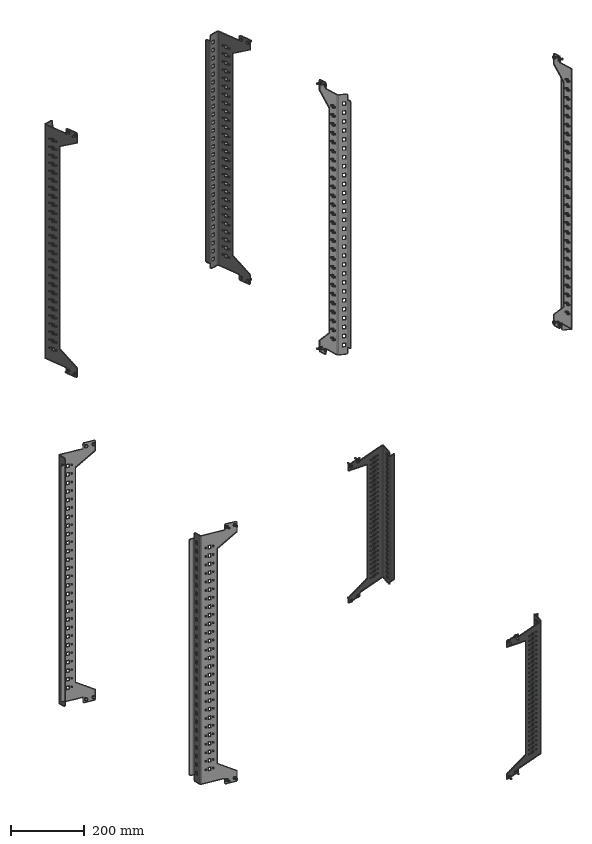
import cadquery as cq

RAIL_HEIGHT = 761.0
RAIL_DEPTH = 133.0
OVERALL_WIDTH = 720.0

SHEET = 1.75
BEND_OUTER_RADIUS = 3.0
BEND_INNER_RADIUS = BEND_OUTER_RADIUS - SHEET
PIN_PROTRUSION = 11.0
PLATE_OUTER_Y = OVERALL_WIDTH / 2 - PIN_PROTRUSION
PLATE_INNER_Y = PLATE_OUTER_Y - SHEET

RAIL_FRONT_X = -RAIL_DEPTH / 2
RAIL_REAR_X = RAIL_DEPTH / 2
FLANGE_REACH = 14.0
PLATE_REACH = 68.5
PLATE_FRONT_X = RAIL_FRONT_X + FLANGE_REACH
PLATE_REAR_X = RAIL_FRONT_X + PLATE_REACH
PLATE_TOP = 364.0
ARM_ROOT_Z = 314.0
ARM_TIP_Z = 350.0
TAB_TOP = RAIL_HEIGHT / 2
TAB_WIDTH = 40.0
CORNER_CHAMFER = 3.0

WEB_WIDTH = 34.0
WEB_REAR_X = PLATE_FRONT_X + SHEET
FLANGE_TOP = 346.0
FLANGE_INNER_Y = PLATE_OUTER_Y - WEB_WIDTH
FLANGE_OUTER_Y = FLANGE_INNER_Y + SHEET
FLANGE_BEND_Y = FLANGE_INNER_Y + BEND_OUTER_RADIUS

PLATE_HOLE_ROWS = 27
WEB_HOLE_ROWS = PLATE_HOLE_ROWS + 1
PLATE_HOLE_SPAN = 650.0
HOLE_PITCH = PLATE_HOLE_SPAN / (PLATE_HOLE_ROWS - 1)
SQUARE_HOLE = 9.0
SQUARE_HOLE_X = -23.0
ROUND_HOLE_DIAMETER = 4.2
ROUND_HOLE_OFFSET = 12.0
WEB_HOLE_INSET = 20.5

PIN_DIAMETER = 4.5
PIN_TIP_CHAMFER = 1.1
HEAD_DIAMETER = 9.0
HEAD_HEIGHT = 4.0
PIN_Z = 370.5
PIN_SPACING = HOLE_PITCH
PIN_END_MARGIN = 7.2
REAR_PIN_X = RAIL_REAR_X - PIN_END_MARGIN
PIN_POINTS = [(x, z) for x in (REAR_PIN_X - PIN_SPACING, REAR_PIN_X) for z in (-PIN_Z, PIN_Z)]


def row_heights(count):
    """Z of each row of holes, centred on Z = 0."""
    return [(row - (count - 1) / 2) * HOLE_PITCH for row in range(count)]


def plate_plane():
    """Workplane on the plate's outer face; extruding goes toward -Y, local axes are X and Z."""
    return cq.Workplane("XZ", origin=(0, PLATE_OUTER_Y, 0))


def make_side_plate():
    tab_x = RAIL_REAR_X - TAB_WIDTH
    upper = [
        (PLATE_FRONT_X, PLATE_TOP),
        (tab_x, PLATE_TOP),
        (tab_x, TAB_TOP - CORNER_CHAMFER),
        (tab_x + CORNER_CHAMFER, TAB_TOP),
        (RAIL_REAR_X - CORNER_CHAMFER, TAB_TOP),
        (RAIL_REAR_X, TAB_TOP - CORNER_CHAMFER),
        (RAIL_REAR_X, ARM_TIP_Z),
        (PLATE_REAR_X, ARM_ROOT_Z),
    ]
    lower = [(x, -z) for x, z in reversed(upper)]
    return plate_plane().polyline(upper + lower).close().extrude(SHEET)


def make_web():
    """Web as tall as the plate, ending where its bend into the flange begins."""
    return (
        cq.Workplane("XY", origin=(PLATE_FRONT_X, FLANGE_BEND_Y, 0))
        .box(SHEET, PLATE_OUTER_Y - FLANGE_BEND_Y, 2 * PLATE_TOP, centered=(False, False, True))
        .edges("|X and <Y")
        .chamfer(CORNER_CHAMFER)
    )


def make_flange():
    """Flange together with the bend that joins it to the web."""
    return (
        cq.Workplane("XY", origin=(0, 0, -FLANGE_TOP))
        .moveTo(RAIL_FRONT_X, FLANGE_INNER_Y)
        .lineTo(WEB_REAR_X - BEND_OUTER_RADIUS, FLANGE_INNER_Y)
        .radiusArc((WEB_REAR_X, FLANGE_BEND_Y), -BEND_OUTER_RADIUS)
        .lineTo(PLATE_FRONT_X, FLANGE_BEND_Y)
        .radiusArc((PLATE_FRONT_X - BEND_INNER_RADIUS, FLANGE_OUTER_Y), BEND_INNER_RADIUS)
        .lineTo(RAIL_FRONT_X, FLANGE_OUTER_Y)
        .close()
        .extrude(2 * FLANGE_TOP)
        .edges("|Y and <X")
        .chamfer(CORNER_CHAMFER)
    )


def round_plate_bend(sheet):
    """Round the outside and the inside of the fold between plate and web."""
    outer_edge = cq.selectors.NearestToPointSelector((PLATE_FRONT_X, PLATE_OUTER_Y, 0))
    inner_edge = cq.selectors.NearestToPointSelector((WEB_REAR_X, PLATE_INNER_Y, 0))
    sheet = sheet.edges(outer_edge).fillet(BEND_OUTER_RADIUS)
    return sheet.edges(inner_edge).fillet(BEND_INNER_RADIUS)


def make_plate_holes():
    """Each row has a square hole between two round ones; the tabs have holes for the pins."""
    heights = row_heights(PLATE_HOLE_ROWS)
    squares = [(SQUARE_HOLE_X, z) for z in heights]
    rounds = [(SQUARE_HOLE_X + side * ROUND_HOLE_OFFSET, z) for z in heights for side in (-1, 1)]
    square_holes = plate_plane().pushPoints(squares).rect(SQUARE_HOLE, SQUARE_HOLE).extrude(SHEET)
    round_holes = plate_plane().pushPoints(rounds).circle(ROUND_HOLE_DIAMETER / 2).extrude(SHEET)
    pin_holes = plate_plane().pushPoints(PIN_POINTS).circle(PIN_DIAMETER / 2).extrude(SHEET)
    return square_holes.vals() + round_holes.vals() + pin_holes.vals()


def make_web_holes():
    centres = [(PLATE_OUTER_Y - WEB_HOLE_INSET, z) for z in row_heights(WEB_HOLE_ROWS)]
    plane = cq.Workplane("YZ", origin=(PLATE_FRONT_X, 0, 0))
    return plane.pushPoints(centres).rect(SQUARE_HOLE, SQUARE_HOLE).extrude(SHEET).vals()


def make_rail():
    """The rail on the +Y side."""
    rail = round_plate_bend(make_side_plate().union(make_web()))
    rail = rail.union(make_flange())
    for hole in make_plate_holes() + make_web_holes():
        rail = rail.cut(cq.Workplane(hole))
    return rail


def make_pin(x, z):
    """Pin through the plate of the +Y rail, with its head against the inner face."""
    shank_plane = cq.Workplane("XZ", origin=(x, PLATE_INNER_Y, z))
    shank = shank_plane.circle(PIN_DIAMETER / 2).extrude(-(SHEET + PIN_PROTRUSION))
    shank = shank.faces(">Y").chamfer(PIN_TIP_CHAMFER)
    head = shank_plane.circle(HEAD_DIAMETER / 2).extrude(HEAD_HEIGHT)
    return shank.union(head)


rail = make_rail()
pins = [make_pin(x, z) for x, z in PIN_POINTS]

bodies = []
for body in [rail] + pins:
    bodies.append(body.solids().val())
    bodies.append(body.mirror("XZ").solids().val())

result = cq.Compound.makeCompound(bodies)